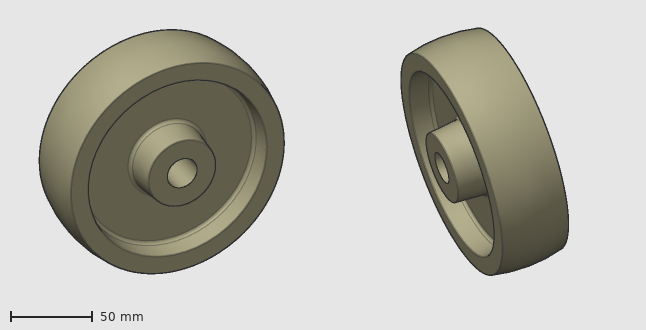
import cadquery as cq
import math

wheel_radius = 75.0
tread_edge_radius = 72.3
rim_half_width = 22.5
hub_length = 58.0
web_half_thickness = 8.0
recess_mouth_radius = 60.3
hub_end_radius = 22.8
bore_radius = 10.0
draft_angle = 5.0
root_fillet = 2.2
edge_round = 0.5

hub_half_length = hub_length / 2

draft_slope = math.tan(math.radians(draft_angle))
recess_floor_radius = recess_mouth_radius - (rim_half_width - web_half_thickness) * draft_slope
hub_root_radius = hub_end_radius + (hub_half_length - web_half_thickness) * draft_slope


def side_profile(side):
    """Return (x, radius) corners of one side face, from the bore out to the tread."""
    return [
        (side * hub_half_length, bore_radius),
        (side * hub_half_length, hub_end_radius),
        (side * web_half_thickness, hub_root_radius),
        (side * web_half_thickness, recess_floor_radius),
        (side * rim_half_width, recess_mouth_radius),
        (side * rim_half_width, tread_edge_radius),
    ]


def revolved_wheel():
    """Revolve the full section, with a crowned tread, about the X axis."""
    left = side_profile(-1)
    right = side_profile(1)
    return (
        cq.Workplane("XY")
        .polyline(left)
        .threePointArc((0, wheel_radius), right[-1])
        .polyline(right[-2::-1], includeCurrent=True)
        .close()
        .revolve(360, (0, 0, 0), (1, 0, 0))
    )


def round_rings(wheel, ring_radii, fillet_radius):
    """Fillet the circular edges having the given radii on both sides of the wheel."""
    tolerance = 0.002

    def is_chosen(edge):
        return edge.geomType() == "CIRCLE" and any(
            abs(edge.radius() - ring_radius) < tolerance for ring_radius in ring_radii
        )

    return wheel.edges().filter(is_chosen).fillet(fillet_radius)


result = revolved_wheel()
result = round_rings(result, [hub_root_radius, recess_floor_radius], root_fillet)
result = round_rings(
    result,
    [hub_end_radius, recess_mouth_radius, tread_edge_radius],
    edge_round,
)